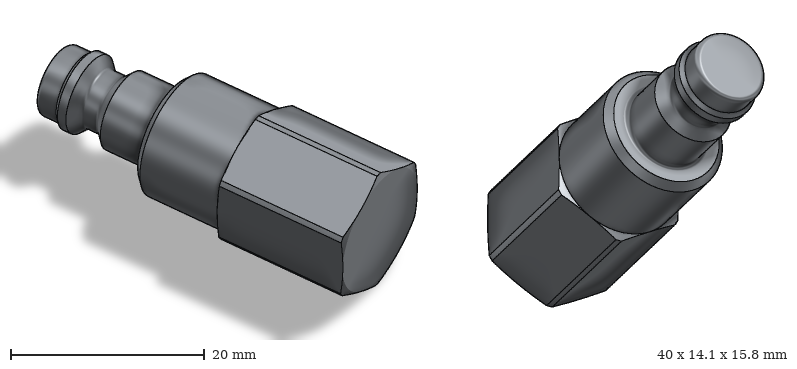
import cadquery as cq
import math

collar_root_x = 2.6
collar_start_x = 3.05
collar_end_x = 4.1
shank_start_x = 8.35
body_start_x = 14.1
hex_start_x = 24.45
overall_length = 40.0

nose_diameter = 8.1
shank_diameter = 9.0
groove_diameter = 6.65
body_diameter = 14.0

nose_round = 0.55
groove_round = 0.5
groove_flank_angle = 45.0
body_root_round = 0.5
body_chamfer = 0.8

hex_sides = 6
across_flats = 14.0
corner_diameter = 15.8
hex_tilt = -0.96
hex_chamfer_angle = 15.0

nose_radius = nose_diameter / 2
shank_radius = shank_diameter / 2
groove_radius = groove_diameter / 2
body_radius = body_diameter / 2
corner_radius = corner_diameter / 2


def arc_middle(start, end, center):
    """Midpoint of the short arc from start to end about center."""
    direction_x = (start[0] + end[0]) / 2 - center[0]
    direction_r = (start[1] + end[1]) / 2 - center[1]
    radius = math.dist(start, center)
    scale = radius / math.hypot(direction_x, direction_r)
    return (center[0] + scale * direction_x, center[1] + scale * direction_r)


def groove_fillet_points(cone_top_x, toward_groove):
    """Points on a groove flank and floor where their fillet is tangent, and its center."""
    angle = math.radians(groove_flank_angle)
    flank_depth = shank_radius - groove_radius
    tangent_length = groove_round * math.tan(angle / 2)
    corner_x = cone_top_x + toward_groove * flank_depth / math.tan(angle)
    on_flank = (
        corner_x - toward_groove * tangent_length * math.cos(angle),
        groove_radius + tangent_length * math.sin(angle),
    )
    on_floor = (corner_x + toward_groove * tangent_length, groove_radius)
    center = (on_floor[0], groove_radius + groove_round)
    return on_flank, on_floor, center


def turned_plug():
    """Nose, collar, groove, shank and cylindrical body revolved about X."""
    tip = (0, nose_radius - nose_round)
    nose_edge = (nose_round, nose_radius)
    nose_center = (nose_round, nose_radius - nose_round)
    flank_a, floor_a, center_a = groove_fillet_points(collar_end_x, 1)
    flank_b, floor_b, center_b = groove_fillet_points(shank_start_x, -1)
    root_start = (body_start_x - body_root_round, shank_radius)
    root_end = (body_start_x, shank_radius + body_root_round)
    root_center = (root_start[0], root_end[1])
    return (
        cq.Workplane("XY")
        .moveTo(0, 0)
        .lineTo(*tip)
        .threePointArc(arc_middle(tip, nose_edge, nose_center), nose_edge)
        .lineTo(collar_root_x, nose_radius)
        .lineTo(collar_start_x, shank_radius)
        .lineTo(collar_end_x, shank_radius)
        .lineTo(*flank_a)
        .threePointArc(arc_middle(flank_a, floor_a, center_a), floor_a)
        .lineTo(*floor_b)
        .threePointArc(arc_middle(floor_b, flank_b, center_b), flank_b)
        .lineTo(shank_start_x, shank_radius)
        .lineTo(*root_start)
        .threePointArc(arc_middle(root_start, root_end, root_center), root_end)
        .lineTo(body_start_x, body_radius - body_chamfer)
        .lineTo(body_start_x + body_chamfer, body_radius)
        .lineTo(hex_start_x, body_radius)
        .lineTo(hex_start_x, 0)
        .close()
        .revolve(360, (0, 0, 0), (1, 0, 0))
    )


def hexagon():
    """Tilted hexagonal bar with rounded corners and conical chamfers at both ends."""
    half_sector = 180 / hex_sides
    across_corners = across_flats / math.cos(math.radians(half_sector))
    bar = (
        cq.Workplane("YZ", origin=(hex_start_x, 0, 0))
        .polygon(hex_sides, across_corners)
        .extrude(overall_length - hex_start_x)
        .rotate((0, 0, 0), (1, 0, 0), half_sector + hex_tilt)
    )
    chamfer_length = (corner_radius - body_radius) * math.tan(math.radians(hex_chamfer_angle))
    envelope = (
        cq.Workplane("XY")
        .moveTo(hex_start_x, 0)
        .lineTo(hex_start_x, body_radius)
        .lineTo(hex_start_x + chamfer_length, corner_radius)
        .lineTo(overall_length - chamfer_length, corner_radius)
        .lineTo(overall_length, body_radius)
        .lineTo(overall_length, 0)
        .close()
        .revolve(360, (0, 0, 0), (1, 0, 0))
    )
    return bar.intersect(envelope)


result = turned_plug().union(hexagon())